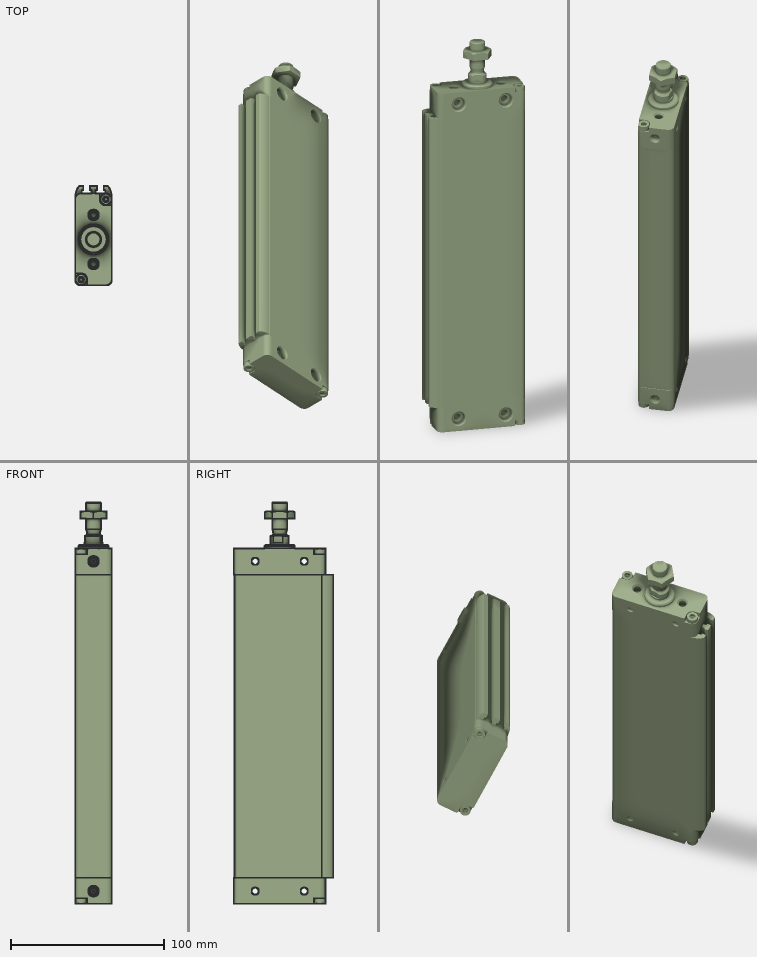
import cadquery as cq
import math

total_height = 262.0
total_depth = 65.0
housing_height = 232.0
cap_height = 17.0
barrel_top = housing_height - cap_height
barrel_height = barrel_top - cap_height

housing_width = 24.0
cap_depth = 60.0
barrel_front = 29.5
cap_corner_radius = 4.0
barrel_corner_radius = 3.5

rail_top = total_depth - cap_depth / 2
rail_side = 11.8
rail_shoulder_bottom = 27.5
rail_arc_start = 28.3
rail_arc_bulge_x = 11.0
rail_arc_bulge_y = 32.2
rail_top_half_width = 9.2
slot_lip_bottom = 32.2
slot_opening_inner = 2.4
slot_opening_outer = 6.5
slot_wide_inner = 1.3
slot_wide_outer = 7.5

hole_level = cap_height - 8.5
hole_spacing = 32.0
mounting_bore_diameter = 8.6
mounting_bore_mouth = 10.0
mounting_bore_depth = 3.7
mounting_hole_diameter = 4.5
mounting_hole_mouth = 5.0
thread_mouth = 7.0
thread_diameter = 5.0
thread_depth = 5.8
core_diameter = 4.0
core_depth = 7.9
orifice_diameter = 1.0
orifice_depth = 9.5

screw_x = 8.0
screw_y = 26.2
pocket_diameter = 8.0
pocket_depth = 3.7
screw_head_diameter = 7.0
screw_head_height = 3.5
socket_diameter = 4.0
socket_depth = 1.8
socket_tip_diameter = 2.5
socket_tip_depth = 0.8

collar_diameter = 20.0
collar_height = 2.4
collar_chamfer = 0.8

rod_diameter = 12.0
rod_shoulder = 240.3
flats_bottom = 235.5
flats_width = 10.2
flats_angle = -13.0
neck_root_diameter = 8.6
neck_flare = 0.8
neck_taper_start = 242.0
neck_top_diameter = 9.7
thread_start = 244.5
rod_thread_diameter = 10.0
rod_chamfer = 0.5
thread_chamfer = 0.5

nut_flats = 17.0
nut_bottom = 251.3
nut_height = 5.0
nut_chamfer = 0.8


def cylinder(diameter, height, x=0.0, y=0.0, z=0.0):
    """Upright cylinder standing on the point (x, y, z)."""
    return cq.Workplane("XY", origin=(x, y, z)).circle(diameter / 2).extrude(height)


def bore(mouth, mouth_diameter, diameter, depth):
    """Round hole cutter along the normal of the plane mouth, with a 45 degree chamfer at its start."""
    chamfer = (mouth_diameter - diameter) / 2
    cone = cq.Solid.makeCone(mouth_diameter / 2, diameter / 2, chamfer, mouth.origin, mouth.zDir)
    return cq.Workplane(mouth).circle(diameter / 2).extrude(depth).union(cq.Workplane(cone))


def threaded_hole(mouth):
    """Cutter for a chamfered thread with a narrower core hole going on from its bottom."""
    core = cq.Workplane(mouth).circle(core_diameter / 2).extrude(core_depth)
    return bore(mouth, thread_mouth, thread_diameter, thread_depth).union(core)


def mounting_hole(y):
    """Cutter for a counterbored hole through the width of a cap, entered from the -X side."""
    face = cq.Plane(origin=(-housing_width / 2, y, hole_level), xDir=(0, 1, 0), normal=(1, 0, 0))
    floor = cq.Plane(face.toWorldCoords((0, 0, mounting_bore_depth)), xDir=(0, 1, 0), normal=(1, 0, 0))
    counterbore = bore(face, mounting_bore_mouth, mounting_bore_diameter, mounting_bore_depth)
    through = bore(floor, mounting_hole_mouth, mounting_hole_diameter, housing_width - mounting_bore_depth)
    return counterbore.union(through)


def add_screw(cap, side):
    """Cut a corner pocket in the outer face of a cap and set a socket screw head in it.

    side is 1 for the +X +Y corner and -1 for the -X -Y corner.
    """
    x, y = side * screw_x, side * screw_y
    floor = cap_height - pocket_depth
    radius = pocket_diameter / 2
    pocket = cylinder(pocket_diameter, pocket_depth, x, y, floor)
    reach = 2 * pocket_diameter
    far, near = reach / 2, reach / 2 - radius
    for shift_x, shift_y in ((far, near), (near, far)):
        center = (x + side * shift_x, y + side * shift_y, floor)
        block = cq.Workplane("XY", origin=center).rect(reach, reach).extrude(pocket_depth)
        pocket = pocket.union(block)
    head = cylinder(screw_head_diameter, screw_head_height, x, y, floor)
    socket_floor = floor + screw_head_height - socket_depth
    socket = cylinder(socket_diameter, socket_depth, x, y, socket_floor)
    tip = cq.Solid.makeCone(
        socket_tip_diameter / 2,
        0,
        socket_tip_depth,
        pnt=cq.Vector(x, y, socket_floor),
        dir=cq.Vector(0, 0, -1),
    )
    return cap.cut(pocket).union(head.cut(socket).cut(cq.Workplane(tip)))


def make_cap():
    """Cap shared by both ends: its outer face is on top, at cap_height."""
    cap = (
        cq.Workplane("XY")
        .rect(housing_width, cap_depth)
        .extrude(cap_height)
        .edges("|Z")
        .fillet(cap_corner_radius)
    )
    for y in (-hole_spacing / 2, hole_spacing / 2):
        cap = cap.cut(mounting_hole(y))
    port_mouth = cq.Plane(origin=(0, -cap_depth / 2, hole_level), xDir=(1, 0, 0), normal=(0, 1, 0))
    cap = cap.cut(threaded_hole(port_mouth))
    cap = cap.cut(cq.Workplane(port_mouth).circle(orifice_diameter / 2).extrude(orifice_depth))
    for side in (-1, 1):
        cap = add_screw(cap, side)
    return cap


def make_rod_cap():
    """Top cap with threaded face holes, the bearing collar and the bore for the rod."""
    cap = make_cap()
    for y in (-hole_spacing / 2, hole_spacing / 2):
        mouth = cq.Plane(origin=(0, y, cap_height), xDir=(1, 0, 0), normal=(0, 0, -1))
        cap = cap.cut(threaded_hole(mouth))
    collar = cylinder(collar_diameter, collar_height, z=cap_height)
    collar = collar.faces(">Z").edges().chamfer(collar_chamfer)
    rod_bore = cylinder(rod_diameter, cap_height + collar_height)
    return cap.union(collar).cut(rod_bore).translate((0, 0, barrel_top))


def make_end_cap():
    """Bottom cap: the shared cap mirrored so that its outer face is below."""
    return make_cap().mirror("XY").translate((0, 0, cap_height))


def make_barrel():
    """Extruded barrel with three rails that form two T-slots."""
    half_width = housing_width / 2
    barrel = (
        cq.Workplane("XY", origin=(0, 0, cap_height))
        .moveTo(half_width, -barrel_front)
        .lineTo(half_width, rail_shoulder_bottom)
        .lineTo(rail_side, rail_arc_start)
        .threePointArc((rail_arc_bulge_x, rail_arc_bulge_y), (rail_top_half_width, rail_top))
        .lineTo(-rail_top_half_width, rail_top)
        .threePointArc((-rail_arc_bulge_x, rail_arc_bulge_y), (-rail_side, rail_arc_start))
        .lineTo(-half_width, rail_shoulder_bottom)
        .lineTo(-half_width, -barrel_front)
        .close()
        .extrude(barrel_height)
        .edges("|Z and <Y")
        .fillet(barrel_corner_radius)
    )
    slot = (
        cq.Workplane("XY", origin=(0, 0, cap_height))
        .moveTo(slot_wide_inner, barrel_front)
        .lineTo(slot_wide_outer, barrel_front)
        .lineTo(slot_wide_outer, slot_lip_bottom)
        .lineTo(slot_opening_outer, slot_lip_bottom)
        .lineTo(slot_opening_outer, rail_top)
        .lineTo(slot_opening_inner, rail_top)
        .lineTo(slot_opening_inner, slot_lip_bottom)
        .lineTo(slot_wide_inner, slot_lip_bottom)
        .close()
        .extrude(barrel_height)
    )
    return barrel.cut(slot).cut(slot.mirror("YZ"))


def make_rod():
    """Stepped piston rod with two wrench flats, a neck and a threaded end."""
    rod = cylinder(rod_diameter, rod_shoulder - barrel_top, z=barrel_top)
    rod = rod.faces(">Z").edges().chamfer(rod_chamfer)
    flats = (
        cq.Workplane("XY", origin=(0, 0, flats_bottom))
        .rect(2 * rod_diameter, 2 * rod_diameter)
        .rect(flats_width, 2 * rod_diameter)
        .extrude(rod_shoulder - flats_bottom)
        .rotate((0, 0, 0), (0, 0, 1), flats_angle)
    )
    neck = (
        cq.Workplane("XZ")
        .moveTo(0, rod_shoulder)
        .lineTo(neck_root_diameter / 2 + neck_flare, rod_shoulder)
        .lineTo(neck_root_diameter / 2, rod_shoulder + neck_flare)
        .lineTo(neck_root_diameter / 2, neck_taper_start)
        .lineTo(neck_top_diameter / 2, thread_start)
        .lineTo(0, thread_start)
        .close()
        .revolve(360, (0, 0), (0, 1))
    )
    thread = cylinder(rod_thread_diameter, total_height - thread_start, z=thread_start)
    thread = thread.faces(">Z").edges().chamfer(thread_chamfer)
    return rod.cut(flats).union(neck).union(thread)


def make_nut():
    """Hexagon nut with two corners on the Y axis and a conical chamfer on top."""
    corner_diameter = nut_flats / math.cos(math.pi / 6)
    blank = (
        cq.Workplane("XY", origin=(0, 0, nut_bottom))
        .polygon(6, corner_diameter)
        .extrude(nut_height)
        .rotate((0, 0, 0), (0, 0, 1), 90)
    )
    envelope = cylinder(corner_diameter, nut_height, z=nut_bottom)
    envelope = envelope.faces(">Z").edges().chamfer(nut_chamfer, (corner_diameter - nut_flats) / 2)
    hole = cylinder(rod_thread_diameter, nut_height, z=nut_bottom)
    return blank.intersect(envelope).cut(hole)


barrel = make_barrel()
rod_cap = make_rod_cap()
end_cap = make_end_cap()
piston_rod = make_rod()
nut = make_nut()

result = cq.Compound.makeCompound(
    [barrel.val(), rod_cap.val(), end_cap.val(), piston_rod.val(), nut.val()]
)